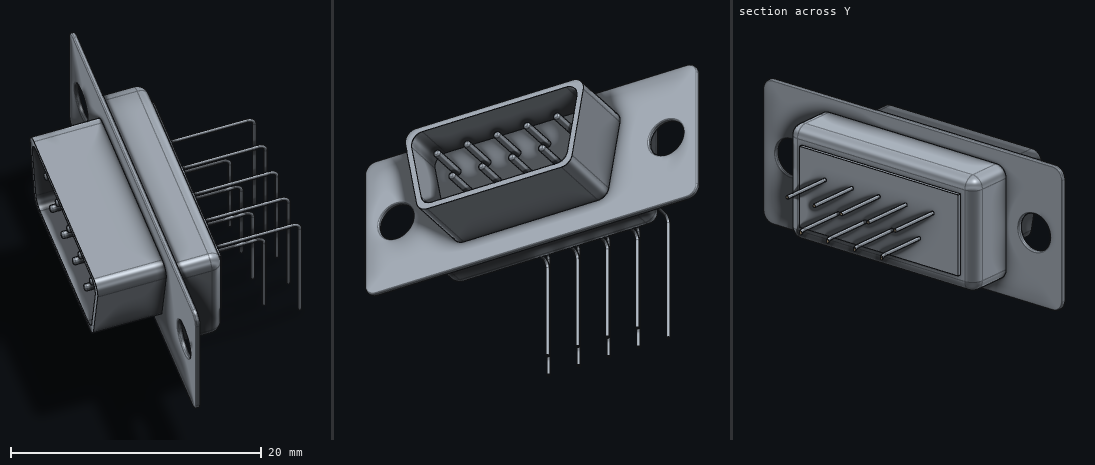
import cadquery as cq
import math


overall_depth = 18.19
overall_height = 16.4

flange_width = 30.8
flange_height = 12.5
flange_thickness = 0.4
flange_corner_radius = 1.0
flange_edge_radius = 0.1
mounting_hole_spacing = 25.0
mounting_hole_diameter = 3.2

shroud_top_width = 16.9
shroud_height = 7.9
shroud_length = 5.8
shroud_wall = 0.5
shroud_side_angle = math.radians(10)
shroud_corner_radius = 1.0
cavity_depth = 3.7

housing_width = 19.2
housing_height = 9.9
housing_depth = 4.0
housing_edge_radius = 1.0
insert_width = 16.3
insert_height = 7.0
insert_thickness = 0.3

upper_row_count = 5
lower_row_count = 4
contact_pitch = 2.77
row_spacing = 2.54
pin_diameter = 0.6
pin_length = 3.4
pin_tip_radius = 0.15
lead_diameter = 0.3
lead_bend_radius = 0.6
lead_tip_chamfer = 0.05

shroud_front_y = -shroud_length
cavity_floor_y = shroud_front_y + cavity_depth
housing_back_y = flange_thickness + housing_depth
upper_leg_y = shroud_front_y + overall_depth - lead_diameter / 2
lower_leg_y = upper_leg_y - row_spacing
lead_bottom_z = flange_height / 2 - overall_height


def plane_at(y):
    """XZ plane at the given Y whose normal points to +Y; its local x is -X."""
    return cq.Workplane(cq.Plane(origin=(0, y, 0), xDir=(-1, 0, 0), normal=(0, 1, 0)))


def make_flange():
    flange = plane_at(0).rect(flange_width, flange_height).extrude(flange_thickness)
    flange = flange.edges("|Y").fillet(flange_corner_radius)
    holes = (
        plane_at(0)
        .pushPoints([(-mounting_hole_spacing / 2, 0), (mounting_hole_spacing / 2, 0)])
        .circle(mounting_hole_diameter / 2)
        .extrude(flange_thickness)
    )
    return flange.cut(holes).faces("<Y or >Y").edges().fillet(flange_edge_radius)


def d_prism(inset, start_y, length):
    """D-shaped prism: the shroud outline moved inwards by inset, corners rounded."""
    slope = math.tan(shroud_side_angle)
    half_height = shroud_height / 2 - inset
    side_inset = inset / math.cos(shroud_side_angle)
    middle_half_width = (shroud_top_width - shroud_height * slope) / 2 - side_inset
    top_half_width = middle_half_width + half_height * slope
    bottom_half_width = middle_half_width - half_height * slope
    outline = [
        (-top_half_width, half_height),
        (top_half_width, half_height),
        (bottom_half_width, -half_height),
        (-bottom_half_width, -half_height),
    ]
    prism = plane_at(start_y).polyline(outline).close().extrude(length)
    return prism.edges("|Y").fillet(shroud_corner_radius)


def make_shroud():
    outside = d_prism(0, shroud_front_y, shroud_length + flange_thickness / 2)
    cavity = d_prism(shroud_wall, shroud_front_y, cavity_depth)
    return outside.cut(cavity)


def make_housing():
    start_y = flange_thickness / 2
    housing = plane_at(start_y).rect(housing_width, housing_height).extrude(housing_back_y - start_y)
    housing = housing.edges("|Y").fillet(housing_edge_radius)
    housing = housing.faces(">Y").edges().fillet(housing_edge_radius)
    insert = plane_at(housing_back_y).rect(insert_width, insert_height).extrude(insert_thickness)
    return housing.union(insert)


def make_pin(x, z):
    pin = plane_at(cavity_floor_y - pin_length).center(-x, z).circle(pin_diameter / 2).extrude(pin_length)
    return pin.faces("<Y").edges().fillet(pin_tip_radius)


def make_lead(x, z, leg_y):
    """Solder lead: straight back from the insert, then bent down."""
    bend_offset = lead_bend_radius * (1 - math.sqrt(0.5))
    path = (
        cq.Workplane("YZ", origin=(x, 0, 0))
        .moveTo(housing_back_y, z)
        .lineTo(leg_y - lead_bend_radius, z)
        .threePointArc((leg_y - bend_offset, z - bend_offset), (leg_y, z - lead_bend_radius))
        .lineTo(leg_y, lead_bottom_z)
    )
    lead = cq.Workplane("XZ", origin=(x, housing_back_y, z)).circle(lead_diameter / 2).sweep(path)
    return lead.faces("<Z").edges().chamfer(lead_tip_chamfer)


def make_row(count, z, leg_y):
    """Pins and leads of one row, centred on X = 0."""
    contacts = []
    for index in range(count):
        x = (index - (count - 1) / 2) * contact_pitch
        contacts += [make_pin(x, z), make_lead(x, z, leg_y)]
    return contacts


upper_row = make_row(upper_row_count, row_spacing / 2, upper_leg_y)
lower_row = make_row(lower_row_count, -row_spacing / 2, lower_leg_y)

result = make_flange().union(make_shroud()).union(make_housing())
for contact in upper_row + lower_row:
    result = result.union(contact)